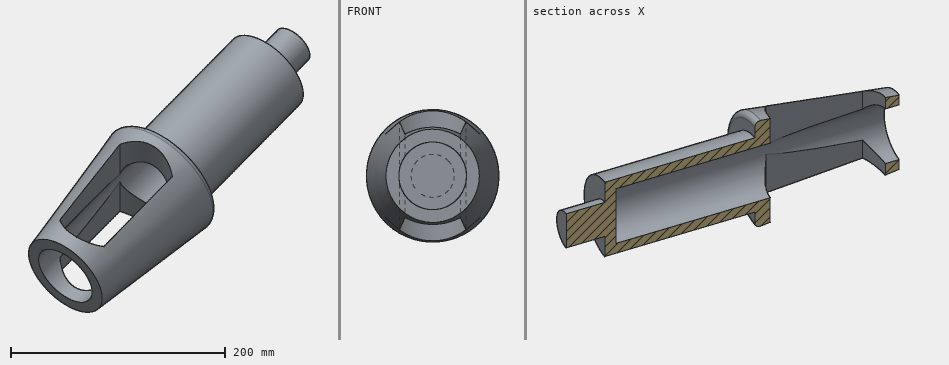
import cadquery as cq

total_length = 346.0
body_diameter = 87.0
bore_diameter = 63.0
pin_diameter = 40.0
pin_length = 40.0
collar_diameter = 123.5
head_length = 150.0
collar_rounding = 6.0

window_front_width = 51.5
window_back_width = 62.0
window_front_corner = 25.3
window_back_corner = 123.0
window_front_tip = 14.5
window_back_tip = 134.0

front_y = -total_length / 2
body_end = total_length - pin_length
collar_edge = head_length - collar_rounding
wall_thickness = (body_diameter - bore_diameter) / 2
bore_depth = body_end - wall_thickness


def cylinder(diameter, start, end):
    """Cylinder on the Y axis between two distances from the mouth."""
    base = cq.Workplane("XZ", origin=(0, front_y + start, 0))
    return base.circle(diameter / 2).extrude(start - end)


def tapered_head():
    """Cone widening from the mouth to a collar with a rounded back edge."""
    mouth_radius = body_diameter / 2
    collar_radius = collar_diameter / 2
    rounding_diagonal = collar_rounding * 0.5 ** 0.5
    rounding_middle = (
        collar_radius - collar_rounding + rounding_diagonal,
        front_y + collar_edge + rounding_diagonal,
    )
    back_y = front_y + head_length
    profile = (
        cq.Workplane("XY")
        .moveTo(0, front_y)
        .lineTo(mouth_radius, front_y)
        .lineTo(collar_radius, front_y + collar_edge)
        .threePointArc(rounding_middle, (collar_radius - collar_rounding, back_y))
        .lineTo(0, back_y)
        .close()
    )
    return profile.revolve(360, (0, 0, 0), (0, 1, 0))


def window_cutter():
    """Tapered prism with arched ends, running right through along Z."""
    front_half = window_front_width / 2
    back_half = window_back_width / 2
    front_corner_y = front_y + window_front_corner
    back_corner_y = front_y + window_back_corner
    outline = (
        cq.Workplane("XY")
        .moveTo(-front_half, front_corner_y)
        .threePointArc((0, front_y + window_front_tip), (front_half, front_corner_y))
        .lineTo(back_half, back_corner_y)
        .threePointArc((0, front_y + window_back_tip), (-back_half, back_corner_y))
        .close()
    )
    return outline.extrude(collar_diameter, both=True)


body = cylinder(body_diameter, collar_edge, body_end)
pin = cylinder(pin_diameter, bore_depth, total_length)
blind_bore = cylinder(bore_diameter, 0, bore_depth)

result = tapered_head().union(body).cut(blind_bore).union(pin).cut(window_cutter())